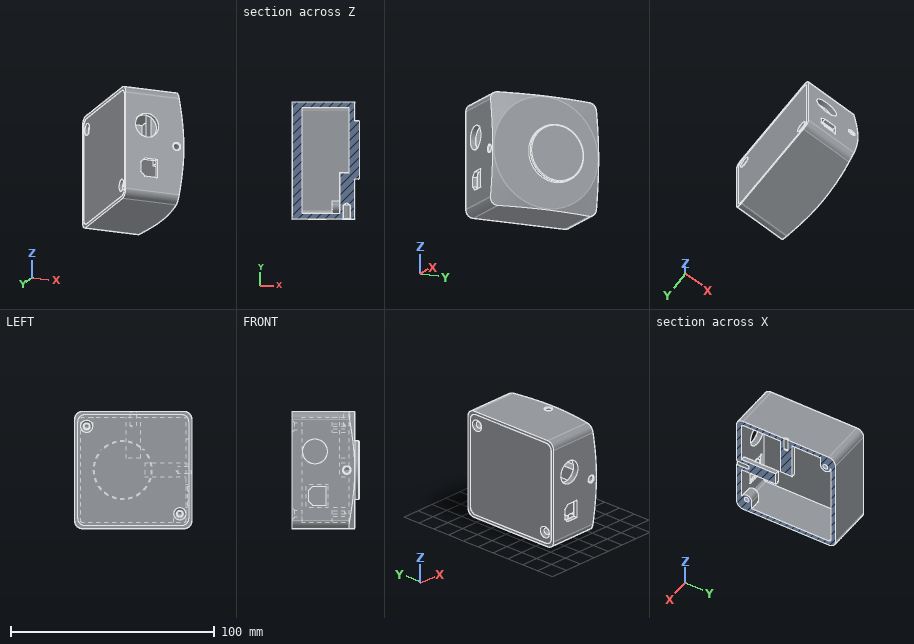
import cadquery as cq
import math

side = 57.8
half_side = side / 2
total_depth = 33.3
body_depth = 31.0
corner_radius = 4.0
wall = 3.0
cavity_end = body_depth - wall

bevel_start_radius = half_side - 0.5
bevel_angle = 15.0
bevel_reach = 45.0

lid_inset = 1.6
lid_recess = 0.1
lid_thickness = 5.0
lid_corner_radius = 3.6

screw_y = 22.9
screw_z = 21.5
screw_points = [(screw_y, screw_z), (-screw_y, -screw_z)]
screw_hole_diameter = 3.4
screw_head_diameter = 6.0
screw_head_angle = 90.0
post_diameter = 6.0
post_start = 19.8
post_hole_diameter = 2.5
post_hole_depth = 6.0
drill_tip_angle = 118.0

ring_diameter = 29.0
ring_offset_y = 5.2
ring_chamfer = 0.5

mount_x = 27.0
mount_diameter = 3.3
mount_mouth_diameter = 4.2
mount_mouth_angle = 90.0
mount_depth = 7.0
boss_width = 7.0
boss_length = 20.0

round_port_diameter = 12.2
round_port_x = 11.35
round_port_z = 9.15
square_port_x_min = 8.05
square_port_x_max = 16.8
square_port_z_min = -17.35
square_port_z_max = -8.0
square_port_corner = 2.2
port_relief_depth = 0.8
port_relief_margin = 1.0


def rounded_block(x_start, x_end, width, radius):
    """Square block centred on the X axis with its four long edges rounded."""
    block = cq.Workplane("YZ", origin=(x_start, 0, 0)).rect(width, width).extrude(x_end - x_start)
    return block.edges("|X").fillet(radius)


def x_cylinder(x_start, x_end, diameter, y, z):
    """Cylinder parallel to the X axis."""
    return cq.Workplane("YZ", origin=(x_start, y, z)).circle(diameter / 2).extrude(x_end - x_start)


def revolve_about_x(profile):
    """Solid of revolution about X from (distance along X, radius) points."""
    return cq.Workplane("XY").polyline(profile).close().revolve(360, (0, 0, 0), (1, 0, 0))


def cone_depth(large_diameter, small_diameter, full_angle):
    """Axial length of a cone between two diameters."""
    return (large_diameter - small_diameter) / 2 / math.tan(math.radians(full_angle / 2))


def flared_hole(mouth_diameter, mouth_angle, diameter, depth):
    """Conical mouth followed by a straight hole, starting at the origin along +X."""
    mouth_depth = cone_depth(mouth_diameter, diameter, mouth_angle)
    return revolve_about_x([
        (0, 0),
        (0, mouth_diameter / 2),
        (mouth_depth, diameter / 2),
        (depth, diameter / 2),
        (depth, 0),
    ])


def drill_tip(diameter):
    """Cone left by a drill, starting at the origin along +X."""
    return revolve_about_x([(0, 0), (0, diameter / 2), (cone_depth(diameter, 0, drill_tip_angle), 0)])


def front_cone():
    """Solid of revolution that bounds the body with its bevelled front."""
    bevel_drop = (bevel_reach - bevel_start_radius) * math.tan(math.radians(bevel_angle))
    return revolve_about_x([
        (0, 0),
        (body_depth, 0),
        (body_depth, bevel_start_radius),
        (body_depth - bevel_drop, bevel_reach),
        (0, bevel_reach),
    ])


def shell():
    """Closed hollow housing with the lid recess in its back."""
    outside = rounded_block(0, body_depth, side, corner_radius).intersect(front_cone())
    cavity = rounded_block(lid_thickness, cavity_end, side - 2 * wall, corner_radius - wall)
    recess = rounded_block(0, lid_recess, side - 2 * lid_inset, lid_corner_radius)
    return outside.cut(cavity).cut(recess)


def lens_ring():
    """Chamfered disc on the front face."""
    ring = x_cylinder(body_depth, total_depth, ring_diameter, ring_offset_y, 0)
    return ring.faces(">X").chamfer(ring_chamfer)


def lid_screw_hole(y, z):
    """Countersunk clearance hole through the lid."""
    hole = flared_hole(screw_head_diameter, screw_head_angle, screw_hole_diameter, lid_thickness)
    return hole.translate((lid_recess, y, z))


def screw_post(y, z):
    """Round post on the front wall, joined by a straight web to the nearest Z wall."""
    post = x_cylinder(post_start, cavity_end, post_diameter, y, z)
    wall_z = math.copysign(half_side - wall, z)
    web = cq.Workplane("YZ", origin=(post_start, y, (z + wall_z) / 2))
    web = web.rect(post_diameter, abs(wall_z - z)).extrude(cavity_end - post_start)
    return post.union(web)


def post_hole(y, z):
    """Blind drilled hole in the end of a screw post."""
    hole_end = post_start + post_hole_depth
    hole = x_cylinder(post_start, hole_end, post_hole_diameter, y, z)
    return hole.union(drill_tip(post_hole_diameter).translate((hole_end, y, z)))


def turn_to_top(shape):
    """Turn a feature of the -Y side about X so that it sits on the +Z side."""
    return shape.rotate((0, 0, 0), (1, 0, 0), -90)


def mount_boss():
    """Square boss reaching inward from the -Y wall and joined to the front wall."""
    boss_start = mount_x - boss_width / 2
    boss = cq.Workplane("XY").box(
        cavity_end - boss_start, boss_length, boss_width, centered=(False, False, True)
    )
    return boss.translate((boss_start, wall - half_side, 0))


def mount_hole():
    """Blind hole with a chamfered mouth and a drill tip, entering from the -Y side."""
    hole = flared_hole(mount_mouth_diameter, mount_mouth_angle, mount_diameter, mount_depth)
    hole = hole.union(drill_tip(mount_diameter).translate((mount_depth, 0, 0)))
    along_y = hole.rotate((0, 0, 0), (0, 0, 1), 90)
    return along_y.translate((mount_x, -half_side, 0))


def side_plane(depth):
    """Sketch plane parallel to the -Y side and set in by a depth; local axes are X and Z."""
    return cq.Workplane("XZ", origin=(0, depth - half_side, 0))


def round_port():
    """Round opening through the wall."""
    return side_plane(0).center(round_port_x, round_port_z).circle(round_port_diameter / 2).extrude(-wall)


def square_port():
    """Opening whose two corners nearest the lid are cut at 45 degrees, with its inner relief."""
    x_corner = square_port_x_min + square_port_corner
    opening = side_plane(0).polyline([
        (square_port_x_max, square_port_z_min),
        (square_port_x_max, square_port_z_max),
        (x_corner, square_port_z_max),
        (square_port_x_min, square_port_z_max - square_port_corner),
        (square_port_x_min, square_port_z_min + square_port_corner),
        (x_corner, square_port_z_min),
    ]).close().extrude(-wall)
    center_x = (square_port_x_min + square_port_x_max) / 2
    center_z = (square_port_z_min + square_port_z_max) / 2
    relief_width = square_port_x_max - square_port_x_min + 2 * port_relief_margin
    relief_height = square_port_z_max - square_port_z_min + 2 * port_relief_margin
    relief = side_plane(wall - port_relief_depth).center(center_x, center_z)
    return opening.union(relief.rect(relief_width, relief_height).extrude(-port_relief_depth))


result = shell().union(lens_ring()).union(mount_boss()).union(turn_to_top(mount_boss()))
for y, z in screw_points:
    result = result.union(screw_post(y, z))

result = result.cut(mount_hole()).cut(turn_to_top(mount_hole()))
result = result.cut(round_port()).cut(square_port())
for y, z in screw_points:
    result = result.cut(lid_screw_hole(y, z)).cut(post_hole(y, z))